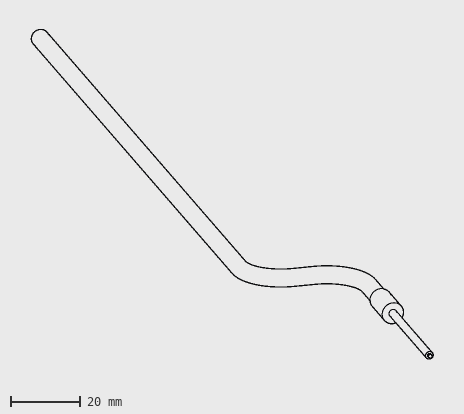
import cadquery as cq

overall_length = 293.5

tube_diameter = 5.3
long_run = 205.0
bend_radius = 12.5
middle_run = 6.5
short_run = 12.3
upper_y = 2 * bend_radius + middle_run

sleeve_diameter = 6.5
sleeve_length = 12.5

jacket_diameter = 2.3
conductor_diameter = 1.2
bare_length = 1.0

column_x = long_run + bend_radius
upper_run_x = column_x + bend_radius
sleeve_start_x = upper_run_x + short_run
sleeve_end_x = sleeve_start_x + sleeve_length
jacket_end_x = overall_length - bare_length


def cylinder_along_x(start_x, y, z, diameter, length):
    """Round bar that starts at start_x and runs toward +X."""
    start_plane = cq.Workplane("YZ", origin=(start_x, y, z))
    return start_plane.circle(diameter / 2).extrude(length)


def make_tube():
    """S-shaped solid round bar: long run, two quarter bends and a short run."""
    diagonal = bend_radius * 0.5 ** 0.5
    path = (
        cq.Workplane("XY")
        .lineTo(long_run, 0)
        .threePointArc(
            (long_run + diagonal, bend_radius - diagonal),
            (column_x, bend_radius),
        )
        .lineTo(column_x, bend_radius + middle_run)
        .threePointArc(
            (upper_run_x - diagonal, upper_y - bend_radius + diagonal),
            (upper_run_x, upper_y),
        )
        .lineTo(sleeve_start_x, upper_y)
    )
    return cq.Workplane("YZ").circle(tube_diameter / 2).sweep(path)


def make_sleeve():
    """Plain round sleeve butted against the end of the tube."""
    return cylinder_along_x(sleeve_start_x, upper_y, 0, sleeve_diameter, sleeve_length)


def make_jacket():
    """Straight jacket on the free face of the sleeve, bored for the conductor."""
    jacket_length = jacket_end_x - sleeve_end_x
    outside = cylinder_along_x(sleeve_end_x, upper_y, 0, jacket_diameter, jacket_length)
    bore = cylinder_along_x(sleeve_end_x, upper_y, 0, conductor_diameter, jacket_length)
    return outside.cut(bore)


def make_conductor():
    """Straight conductor that fills the jacket and stands out at the free end."""
    conductor_length = overall_length - sleeve_end_x
    return cylinder_along_x(sleeve_end_x, upper_y, 0, conductor_diameter, conductor_length)


tube = make_tube()
sleeve = make_sleeve()
jacket = make_jacket()
conductor = make_conductor()

result = cq.Compound.makeCompound(
    [tube.val(), sleeve.val(), jacket.val(), conductor.val()]
)